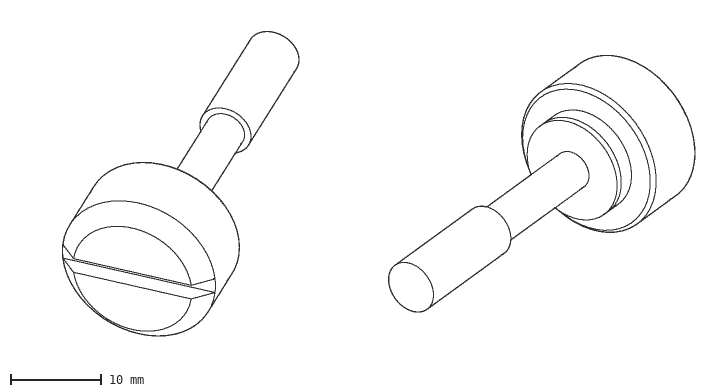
import cadquery as cq

LENGTH = 47.0
HEAD_FACE_Y = -LENGTH / 2
TIP_Y = LENGTH / 2

HEAD_DIAMETER = 18.0
HEAD_RADIUS = HEAD_DIAMETER / 2
HEAD_HEIGHT = 10.0
FRONT_CHAMFER = 2.0
BACK_CHAMFER = 0.45
SLOT_WIDTH = 1.9
SLOT_DEPTH = FRONT_CHAMFER

BOSS_RADIUS = 6.0
BOSS_HEIGHT = 1.97
WASHER_THICKNESS = 0.8

SHANK_RADIUS = 2.25
END_RADIUS = 3.0
END_LENGTH = 18.0
TIP_LENGTH = END_RADIUS

HEAD_BACK_Y = HEAD_FACE_Y + HEAD_HEIGHT
BOSS_BACK_Y = HEAD_BACK_Y + BOSS_HEIGHT
END_START_Y = TIP_Y - END_LENGTH


def make_screw():
    """Turn the head, boss, shank and pointed end, then cut the slot."""
    profile = [
        (0, HEAD_FACE_Y),
        (HEAD_RADIUS - FRONT_CHAMFER, HEAD_FACE_Y),
        (HEAD_RADIUS, HEAD_FACE_Y + FRONT_CHAMFER),
        (HEAD_RADIUS, HEAD_BACK_Y - BACK_CHAMFER),
        (HEAD_RADIUS - BACK_CHAMFER, HEAD_BACK_Y),
        (BOSS_RADIUS, HEAD_BACK_Y),
        (BOSS_RADIUS, BOSS_BACK_Y),
        (SHANK_RADIUS, BOSS_BACK_Y),
        (SHANK_RADIUS, END_START_Y),
        (END_RADIUS, END_START_Y),
        (END_RADIUS, TIP_Y - TIP_LENGTH),
        (0, TIP_Y),
    ]
    turned = cq.Workplane("XY").polyline(profile).close().revolve(360, (0, 0), (0, 1))
    slot = (
        cq.Workplane("XY")
        .box(2 * HEAD_RADIUS, SLOT_DEPTH, SLOT_WIDTH)
        .translate((0, HEAD_FACE_Y + SLOT_DEPTH / 2, 0))
    )
    return turned.cut(slot)


def make_washer():
    """Flat ring around the shank, flush with the boss."""
    return (
        cq.Workplane("XZ", origin=(0, BOSS_BACK_Y, 0))
        .circle(BOSS_RADIUS)
        .circle(SHANK_RADIUS)
        .extrude(-WASHER_THICKNESS)
    )


screw = make_screw()
washer = make_washer()

result = cq.Compound.makeCompound([screw.val(), washer.val()])